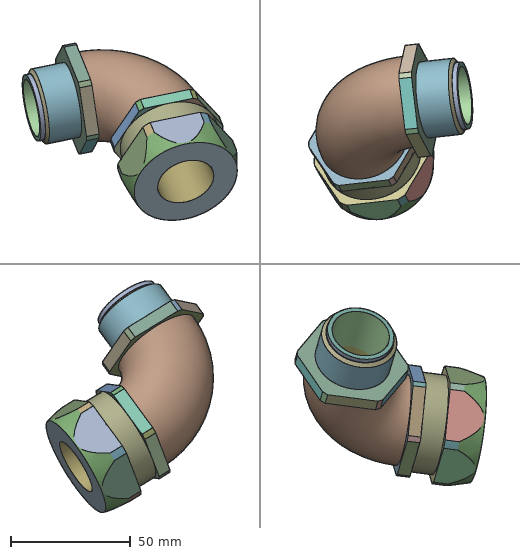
import cadquery as cq
import math

bend_radius = 27.5
elbow_diameter = 38.3
bore_diameter = 24.3

flange_across_flats = 42.0
flange_corner_diameter = 47.1
flange_thickness = 5.45

spigot_diameter = 32.0
spigot_length = 13.95
spigot_chamfer_length = 1.2
spigot_chamfer_end_diameter = 28.9
tip_diameter = 28.3
tip_length = 2.0

neck_diameter = flange_across_flats
nut_across_flats = 45.0
nut_corner_diameter = 49.9
nut_length = 16.0
nut_taper_length = 9.9
nut_end_diameter = 44.7
overall_length = 82.5

flange_front = -flange_thickness
spigot_end = flange_front - spigot_length
tip_end = spigot_end - spigot_chamfer_length - tip_length
neck_start = bend_radius + flange_thickness
nut_end = overall_length - flange_corner_diameter / 2
nut_start = nut_end - nut_length


def inlet_plane(y):
    """Plane across the inlet axis whose normal points out of the spigot (-Y)."""
    return cq.Workplane(cq.Plane(origin=(0, y, 0), xDir=(1, 0, 0), normal=(0, -1, 0)))


def outlet_plane(x):
    """Plane across the outlet axis whose normal points out of the nut (+X)."""
    return cq.Workplane(cq.Plane(origin=(x, bend_radius, 0), xDir=(0, 1, 0), normal=(1, 0, 0)))


def hexagon(plane, across_flats, length):
    """Sharp hexagonal prism with two corners on the plane's local X axis."""
    across_corners = across_flats / math.cos(math.pi / 6)
    return plane.polygon(6, across_corners).extrude(length)


def flange(plane):
    """Hexagonal flange with its corners turned down to a circle."""
    corner_disc = plane.circle(flange_corner_diameter / 2).extrude(flange_thickness)
    return hexagon(plane, flange_across_flats, flange_thickness).intersect(corner_disc)


def bend(diameter):
    """Solid quarter bend joining the inlet axis to the outlet axis."""
    section = cq.Workplane("XZ").circle(diameter / 2)
    return section.revolve(90, (bend_radius, 0.8, 0), (bend_radius, 0, 0))


def spigot():
    """Cylinder with a chamfered end and a narrower tip."""
    body = inlet_plane(flange_front).circle(spigot_diameter / 2).extrude(spigot_length)
    chamfer = (
        inlet_plane(spigot_end)
        .circle(spigot_diameter / 2)
        .workplane(offset=spigot_chamfer_length)
        .circle(spigot_chamfer_end_diameter / 2)
        .loft()
    )
    tip = inlet_plane(spigot_end).circle(tip_diameter / 2).extrude(spigot_end - tip_end)
    return body.union(chamfer).union(tip)


def nut():
    """Hexagonal nut with turned corners and a conical outer end."""
    plane = outlet_plane(nut_start)
    straight_length = nut_length - nut_taper_length
    turned = plane.circle(nut_corner_diameter / 2).extrude(straight_length)
    taper = (
        outlet_plane(nut_start + straight_length)
        .circle(nut_corner_diameter / 2)
        .workplane(offset=nut_taper_length)
        .circle(nut_end_diameter / 2)
        .loft()
    )
    return hexagon(plane, nut_across_flats, nut_length).intersect(turned.union(taper))


neck = outlet_plane(neck_start).circle(neck_diameter / 2).extrude(nut_start - neck_start)
outside = bend(elbow_diameter).union(flange(inlet_plane(0))).union(spigot())
outside = outside.union(flange(outlet_plane(bend_radius))).union(neck).union(nut())

inlet_bore = inlet_plane(0).circle(bore_diameter / 2).extrude(-tip_end)
outlet_bore = outlet_plane(bend_radius).circle(bore_diameter / 2).extrude(nut_end - bend_radius)
result = outside.cut(inlet_bore).cut(bend(bore_diameter)).cut(outlet_bore)